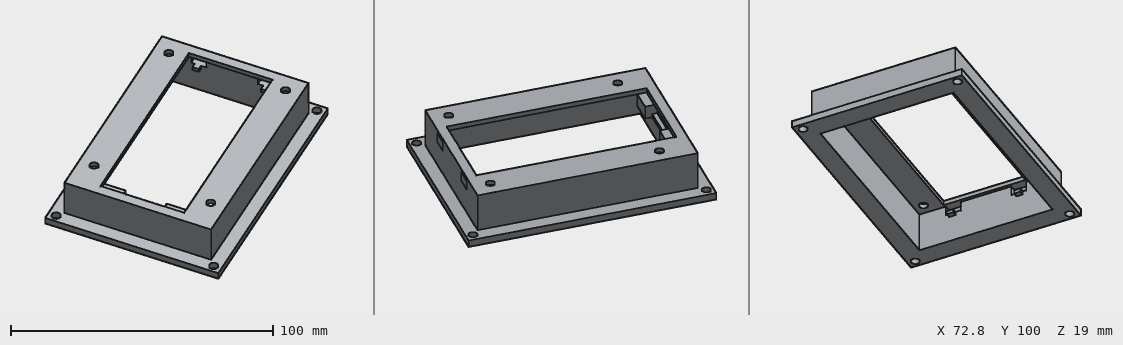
import cadquery as cq

flange_width = 72.8
flange_length = 100.0
flange_thickness = 3.0
total_height = 19.0

housing_width = 61.6
housing_length = 88.9
cavity_width = 57.0
cavity_length = 83.1
top_thickness = 2.0
window_width = 35.1
window_length = 80.7

hole_diameter = 3.5
flange_hole_x = 33.1
flange_hole_y = 47.1
housing_hole_x = 24.5
housing_hole_back_y = 37.1
housing_hole_front_y = -31.1

seat_z = total_height - 6.0
seat_thickness = 1.5
lip_overhang = 0.8
tab_width = 2.7
tab_x = 14.4
pocket_inner_x = 10.8
pocket_outer_x = 17.2
pocket_depth = 2.6
block_inner_x = 8.6
block_length = 3.7

cavity_top = total_height - top_thickness
cavity_end_y = cavity_length / 2
window_end_y = window_length / 2
window_side_x = window_width / 2


def box_between(x_range, y_range, z_range):
    """Axis-aligned box spanning the given (low, high) ranges."""
    (x0, x1), (y0, y1), (z0, z1) = x_range, y_range, z_range
    return cq.Workplane("XY").box(x1 - x0, y1 - y0, z1 - z0, centered=False).translate((x0, y0, z0))


def centered_box(width, length, z0, z1):
    """Box centred on the Z axis between two heights."""
    return box_between((-width / 2, width / 2), (-length / 2, length / 2), (z0, z1))


def hollow_housing():
    """Flanged housing, open below, with a window in its top."""
    flange = centered_box(flange_width, flange_length, 0, flange_thickness)
    housing = centered_box(housing_width, housing_length, 0, total_height)
    cavity = centered_box(cavity_width, cavity_length, 0, cavity_top)
    window = centered_box(window_width, window_length, 0, total_height)
    return flange.union(housing).cut(cavity).cut(window)


def screw_holes():
    """Vertical drills through the flange corners and the housing top."""
    centers = []
    for side in (-1, 1):
        for y in (-flange_hole_y, flange_hole_y):
            centers.append((side * flange_hole_x, y))
        for y in (housing_hole_front_y, housing_hole_back_y):
            centers.append((side * housing_hole_x, y))
    return cq.Workplane("XY").pushPoints(centers).circle(hole_diameter / 2).extrude(total_height)


def clip_pockets():
    """Two recesses in the +Y wall, from the tab seats up to the top plate."""
    pocket = box_between(
        (pocket_inner_x, pocket_outer_x),
        (cavity_end_y, cavity_end_y + pocket_depth),
        (seat_z, cavity_top),
    )
    return pocket.union(pocket.mirror("YZ"))


def clip_tabs():
    """Two small tabs level with the pocket floors, reaching into the window."""
    tab = box_between(
        (tab_x - tab_width / 2, tab_x + tab_width / 2),
        (window_end_y - lip_overhang, cavity_end_y),
        (seat_z - seat_thickness, seat_z),
    )
    return tab.union(tab.mirror("YZ"))


def front_seat():
    """Ledge along the -Y wall with a longer block at each end that rises to the top plate."""
    ledge = box_between(
        (-window_side_x, window_side_x),
        (-cavity_end_y, -window_end_y + lip_overhang),
        (seat_z - seat_thickness, seat_z),
    )
    block = box_between(
        (block_inner_x, window_side_x),
        (-cavity_end_y, -window_end_y + block_length),
        (seat_z - seat_thickness, cavity_top),
    )
    return ledge.union(block).union(block.mirror("YZ"))


result = hollow_housing().cut(screw_holes()).cut(clip_pockets()).union(clip_tabs()).union(front_seat())